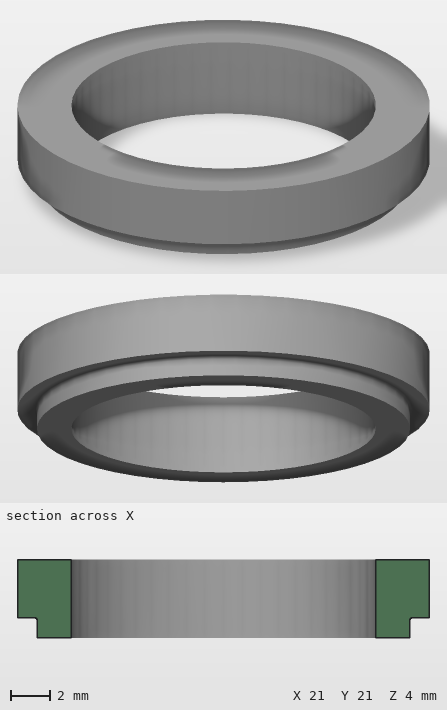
import cadquery as cq

outer_diameter = 21.0
lip_diameter = 19.0
bore_diameter = 15.5
total_height = 4.0
lip_height = 1.0
root_fillet_radius = 0.13

outer_radius = outer_diameter / 2
lip_radius = lip_diameter / 2
bore_radius = bore_diameter / 2

half_section = (
    cq.Workplane("XZ")
    .moveTo(bore_radius, 0)
    .lineTo(lip_radius, 0)
    .lineTo(lip_radius, lip_height - root_fillet_radius)
    .radiusArc((lip_radius + root_fillet_radius, lip_height), root_fillet_radius)
    .lineTo(outer_radius, lip_height)
    .lineTo(outer_radius, total_height)
    .lineTo(bore_radius, total_height)
    .close()
)

result = half_section.revolve(360, (0, 0, 0), (0, 1, 0))